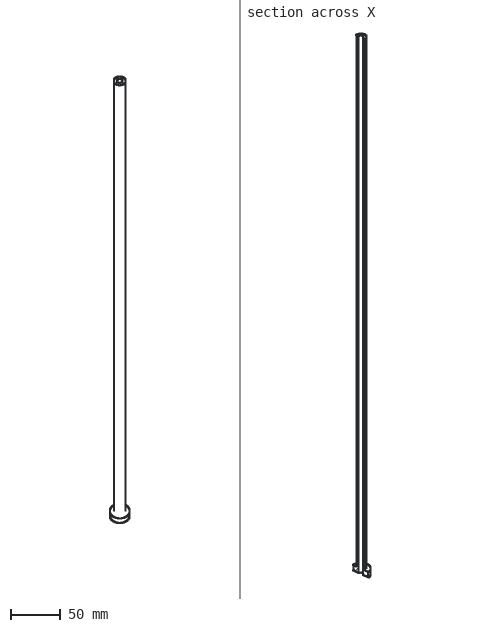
import cadquery as cq

overall_length = 650.0
head_diameter = 20.0
head_height = 7.0
sleeve_diameter = 12.0
bore_diameter = 5.5
neck_fillet_radius = 0.5


def cylinder(diameter, height):
    """Solid cylinder standing on the XY plane, centred on the Z axis."""
    return cq.Workplane("XY").circle(diameter / 2).extrude(height)


def round_neck(body):
    """Fillet the inner corner where the sleeve rises from the top of the head."""
    neck_edge = cq.selectors.RadiusNthSelector(0)
    return body.faces("|Z").faces(">Z[1]").edges(neck_edge).fillet(neck_fillet_radius)


head = cylinder(head_diameter, head_height)
sleeve = cylinder(sleeve_diameter, overall_length)
headed_pin = round_neck(head.union(sleeve))
bore = cylinder(bore_diameter, overall_length)

result = headed_pin.cut(bore)